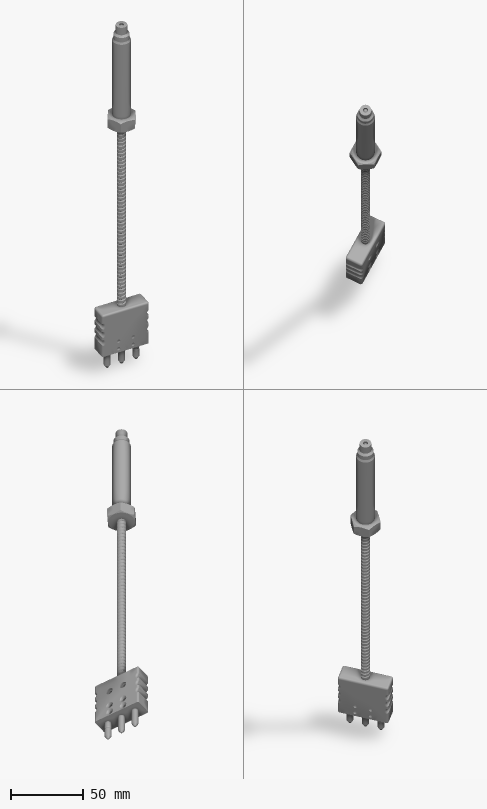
import cadquery as cq
import math

TOTAL_HEIGHT = 287.7
PIN_LENGTH = 15.0
PLUG_HEIGHT = 34.8
PLUG_BOTTOM = PIN_LENGTH
PLUG_TOP = PLUG_BOTTOM + PLUG_HEIGHT
HEX_BOTTOM = 202.5
HEX_HEIGHT = 9.2
HEX_TOP = HEX_BOTTOM + HEX_HEIGHT

HEX_SIDES = 6
HEX_ACROSS_FLATS = 19.0
HEX_ACROSS_CORNERS = HEX_ACROSS_FLATS / math.cos(math.pi / HEX_SIDES)
HEX_FACE_DIAMETER = 18.5
HEX_CHAMFER_ANGLE = 30
BARREL_DIAMETER = 13.0
BARREL_TOP = 275.0
COLLAR_DIAMETER = 11.2
BARREL_TAPER = 1.5
COLLAR_BOTTOM = BARREL_TOP + BARREL_TAPER
COLLAR_TOP = 280.2
TIP_DIAMETER = 8.0
COLLAR_TAPER = 1.2
TIP_BOTTOM = COLLAR_TOP + COLLAR_TAPER
BORE_DIAMETER = 3.5
BORE_DEPTH = 2.3

CABLE_DIAMETER = 6.3
GROOVE_TURNS = 48.4
GROOVE_START_ANGLE = 135
GROOVE_WIDTH = 1.2
GROOVE_DEPTH = 0.5
GROOVE_MARGIN = 1.0
GROOVE_OVERSHOOT = 0.3

PLUG_THICKNESS = 13.0
PLUG_WIDTH = 36.5
PLUG_ROUNDING = 1.5
NOTCH_OPENING = 4.0
NOTCH_DEPTH = 1.2
NOTCH_PITCH = 7.0
NOTCH_COUNT = 3
TOP_NOTCH_DROP = 9.2

PIN_DIAMETER = 4.5
PIN_SPACING = 11.2
PIN_POINT_LENGTH = 2.5
PIN_POINT_DIAMETER = 1.5
BAND_TOP = PIN_LENGTH - 4.5
BAND_HEIGHT = 1.7
BAND_DEPTH = 0.3

HOLE_SPACING = PIN_SPACING
SCREW_HOLE_HEIGHT = PLUG_TOP - 12.0
SCREW_HOLE_DIAMETER = 5.2
SCREW_HOLE_DEPTH = 1.5
SCREW_SOCKET_DIAMETER = 3.0
SCREW_SOCKET_DEPTH = 3.0
THROUGH_HOLE_HEIGHTS = (PLUG_BOTTOM + 3.2, PLUG_BOTTOM + 9.5)
THROUGH_HOLE_DIAMETER = 2.5
COUNTERSINK_DIAMETER = 5.5
COUNTERSINK_ANGLE = 90


def make_hexagon():
    """Hexagon with corners toward +Y and -Y, chamfered at both ends."""
    prism = (
        cq.Workplane("XY")
        .workplane(offset=HEX_BOTTOM)
        .polygon(HEX_SIDES, HEX_ACROSS_CORNERS)
        .extrude(HEX_HEIGHT)
        .rotate((0, 0, 0), (0, 0, 1), 180 / HEX_SIDES)
    )
    corner_radius = HEX_ACROSS_CORNERS / 2
    face_radius = HEX_FACE_DIAMETER / 2
    drop = (corner_radius - face_radius) * math.tan(math.radians(HEX_CHAMFER_ANGLE))
    envelope = (
        cq.Workplane("XZ")
        .moveTo(0, HEX_BOTTOM)
        .lineTo(face_radius, HEX_BOTTOM)
        .lineTo(corner_radius, HEX_BOTTOM + drop)
        .lineTo(corner_radius, HEX_TOP - drop)
        .lineTo(face_radius, HEX_TOP)
        .lineTo(0, HEX_TOP)
        .close()
        .revolve(360, (0, 0, 0), (0, 1, 0))
    )
    return prism.intersect(envelope)


def make_barrel():
    """Turned barrel that steps in to the collar and the tip, whose bore holds a dome."""
    barrel_radius = BARREL_DIAMETER / 2
    collar_radius = COLLAR_DIAMETER / 2
    tip_radius = TIP_DIAMETER / 2
    bore_radius = BORE_DIAMETER / 2
    bore_bottom = TOTAL_HEIGHT - BORE_DEPTH
    half_dome = bore_radius / math.sqrt(2)
    dome_shoulder = (half_dome, bore_bottom + half_dome)
    return (
        cq.Workplane("XZ")
        .moveTo(0, HEX_TOP)
        .lineTo(barrel_radius, HEX_TOP)
        .lineTo(barrel_radius, BARREL_TOP)
        .lineTo(collar_radius, COLLAR_BOTTOM)
        .lineTo(collar_radius, COLLAR_TOP)
        .lineTo(tip_radius, TIP_BOTTOM)
        .lineTo(tip_radius, TOTAL_HEIGHT)
        .lineTo(bore_radius, TOTAL_HEIGHT)
        .lineTo(bore_radius, bore_bottom)
        .threePointArc(dome_shoulder, (0, bore_bottom + bore_radius))
        .close()
        .revolve(360, (0, 0, 0), (0, 1, 0))
    )


def make_fitting():
    """Hexagon and turned barrel as one solid body."""
    return make_hexagon().union(make_barrel()).solids()


def make_cable():
    """Round cable with a V-shaped right-handed helical groove that stops short of both ends."""
    radius = CABLE_DIAMETER / 2
    length = HEX_BOTTOM - PLUG_TOP
    groove_start = PLUG_TOP + GROOVE_MARGIN
    groove_length = length - 2 * GROOVE_MARGIN
    pitch = groove_length / GROOVE_TURNS
    helix = cq.Wire.makeHelix(pitch, groove_length, radius, cq.Vector(0, 0, groove_start))
    half_width = GROOVE_WIDTH / 2 * (1 + GROOVE_OVERSHOOT / GROOVE_DEPTH)
    groove = (
        cq.Workplane("XZ")
        .polyline([
            (radius - GROOVE_DEPTH, groove_start),
            (radius + GROOVE_OVERSHOOT, groove_start - half_width),
            (radius + GROOVE_OVERSHOOT, groove_start + half_width),
        ])
        .close()
        .sweep(cq.Workplane(helix), isFrenet=True)
        .rotate((0, 0, 0), (0, 0, 1), GROOVE_START_ANGLE)
    )
    cable = cq.Workplane("XY").workplane(offset=PLUG_TOP).circle(radius).extrude(length)
    return cable.cut(groove).solids()


def notched_side(outline, side):
    """Run the outline along one narrow side: upward for side = 1, downward for side = -1."""
    y = side * PLUG_WIDTH / 2
    floor_y = y - side * NOTCH_DEPTH
    centres = [PLUG_TOP - TOP_NOTCH_DROP - index * NOTCH_PITCH for index in range(NOTCH_COUNT)]
    for centre in sorted(centres, reverse=side < 0):
        outline = outline.lineTo(y, centre - side * NOTCH_OPENING / 2)
        outline = outline.threePointArc((floor_y, centre), (y, centre + side * NOTCH_OPENING / 2))
    return outline


def make_plug_block():
    """Housing with finger-grip notches, rounded everywhere but around its lower face."""
    half_width = PLUG_WIDTH / 2
    outline = cq.Workplane("YZ").workplane(offset=-PLUG_THICKNESS / 2)
    outline = outline.moveTo(-half_width, PLUG_BOTTOM).lineTo(half_width, PLUG_BOTTOM)
    outline = notched_side(outline, 1).lineTo(half_width, PLUG_TOP).lineTo(-half_width, PLUG_TOP)
    half = notched_side(outline, -1).close().extrude(PLUG_THICKNESS / 2)
    rim = half.faces("<X").edges().vals() + half.faces(">Z").edges("|X").vals()
    rounded_edges = [edge for edge in rim if edge.Center().z > PLUG_BOTTOM + PLUG_ROUNDING]
    half = half.newObject(rounded_edges).fillet(PLUG_ROUNDING)
    return half.union(half.mirror("YZ"))


def cut_face_holes(plug):
    """Stepped blind screw holes and countersunk through holes in the -X face."""
    half_spacing = HOLE_SPACING / 2
    face = cq.Workplane("YZ").workplane(offset=-PLUG_THICKNESS / 2)
    for side in (-1, 1):
        screw = face.center(side * half_spacing, SCREW_HOLE_HEIGHT)
        plug = plug.cut(screw.circle(SCREW_HOLE_DIAMETER / 2).extrude(SCREW_HOLE_DEPTH))
        plug = plug.cut(screw.circle(SCREW_SOCKET_DIAMETER / 2).extrude(SCREW_SOCKET_DEPTH))
        for height in THROUGH_HOLE_HEIGHTS:
            hole = face.center(side * half_spacing, height)
            plug = plug.cut(hole.circle(THROUGH_HOLE_DIAMETER / 2).extrude(PLUG_THICKNESS))
            plug = plug.cut(make_countersink(side * half_spacing, height))
    return plug


def make_countersink(y, z):
    """Cone that opens a through hole toward the -X face."""
    outer_radius = COUNTERSINK_DIAMETER / 2
    inner_radius = THROUGH_HOLE_DIAMETER / 2
    depth = (outer_radius - inner_radius) / math.tan(math.radians(COUNTERSINK_ANGLE / 2))
    return cq.Workplane(
        cq.Solid.makeCone(
            outer_radius,
            inner_radius,
            depth,
            cq.Vector(-PLUG_THICKNESS / 2, y, z),
            cq.Vector(1, 0, 0),
        )
    )


def make_pin(y):
    """Round contact pin with a blunt conical point at its lower end."""
    radius = PIN_DIAMETER / 2
    return (
        cq.Workplane("XZ")
        .polyline([
            (0, 0),
            (PIN_POINT_DIAMETER / 2, 0),
            (radius, PIN_POINT_LENGTH),
            (radius, PIN_LENGTH),
            (0, PIN_LENGTH),
        ])
        .close()
        .revolve(360, (0, 0, 0), (0, 1, 0))
        .translate((0, y, 0))
    )


def make_band_groove(y):
    """V-shaped ring to cut around one pin."""
    radius = PIN_DIAMETER / 2
    return (
        cq.Workplane("XZ")
        .polyline([
            (radius, BAND_TOP),
            (radius, BAND_TOP - BAND_HEIGHT),
            (radius - BAND_DEPTH, BAND_TOP - BAND_HEIGHT / 2),
        ])
        .close()
        .revolve(360, (0, 0, 0), (0, 1, 0))
        .translate((0, y, 0))
    )


def make_plug():
    """Housing with its three fixed pins; the pin nearest +Y carries the ring groove."""
    plug = cut_face_holes(make_plug_block())
    for y in (-PIN_SPACING, 0, PIN_SPACING):
        plug = plug.union(make_pin(y))
    return plug.cut(make_band_groove(PIN_SPACING)).solids()


fitting = make_fitting()
cable = make_cable()
plug = make_plug()

result = cq.Compound.makeCompound([fitting.val(), cable.val(), plug.val()])